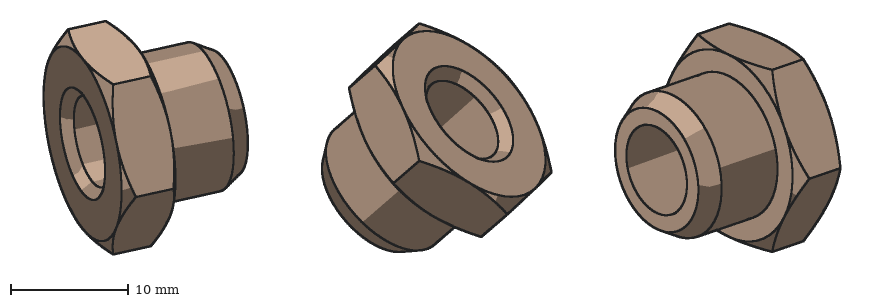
import cadquery as cq
import math

corner_width = 19.63
flat_width = corner_width * math.cos(math.radians(30))
head_length = 5.0
head_chamfer_angle = 30.0

total_length = 13.0
shank_diameter = 13.03
tip_chamfer_length = 1.75
tip_chamfer_angle = 30.0

bore_diameter = 8.0
mouth_diameter = 9.82
mouth_angle = 45.0


def revolve_about_y(points):
    """Revolve a closed (radius, y) outline about the Y axis."""
    return cq.Workplane("XY").polyline(points).close().revolve(360, (0, 0, 0), (0, 1, 0))


def make_head():
    """Hexagon whose corners are trimmed by a cone at each end."""
    hexagon = cq.Workplane("XZ").polygon(6, corner_width).extrude(-head_length)
    face_radius = flat_width / 2
    trim_radius = corner_width / 2 + 0.2
    drop = (trim_radius - face_radius) * math.tan(math.radians(head_chamfer_angle))
    envelope = revolve_about_y([
        (0, 0),
        (face_radius, 0),
        (trim_radius, drop),
        (trim_radius, head_length - drop),
        (face_radius, head_length),
        (0, head_length),
    ])
    return hexagon.intersect(envelope)


def make_shank():
    """Cylinder with a tapered tip, starting inside the head."""
    radius = shank_diameter / 2
    tip_radius = radius - tip_chamfer_length * math.tan(math.radians(tip_chamfer_angle))
    start = head_length / 2
    return revolve_about_y([
        (0, start),
        (radius, start),
        (radius, total_length - tip_chamfer_length),
        (tip_radius, total_length),
        (0, total_length),
    ])


def make_bore():
    """Through hole together with its conical mouth."""
    bore_radius = bore_diameter / 2
    mouth_radius = mouth_diameter / 2
    mouth_depth = (mouth_radius - bore_radius) / math.tan(math.radians(mouth_angle))
    return revolve_about_y([
        (0, 0),
        (mouth_radius, 0),
        (bore_radius, mouth_depth),
        (bore_radius, total_length),
        (0, total_length),
    ])


result = make_head().union(make_shank()).cut(make_bore())